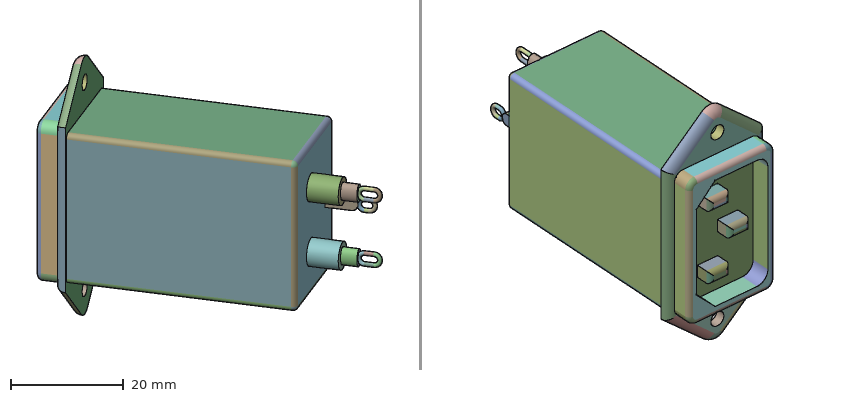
import cadquery as cq
import math

total_length = 62.0

collar_length = 4.0
collar_width = 20.0
collar_height = 31.05
collar_corner_radius = 2.0

flange_thickness = 2.0
flange_width = 23.0
flange_height = 50.0
flange_side_height = 32.0
flange_tip_radius = 3.0
flange_edge_radius = 1.9
screw_hole_diameter = 3.0
screw_hole_spacing = 40.0

housing_end = 48.75
housing_width = 22.1
housing_height = 29.0

edge_radius = 1.0

recess_width = 16.6
recess_height = 27.05
recess_chamfer = 4.35
recess_corner_radius = 2.55

pin_length = 3.5
pin_width = 4.7
pin_height = 2.6
pin_spacing = 15.5
pin_offset_line = 2.3
pin_offset_earth = -2.35

boss_end = 54.6
boss_diameter = 5.2
neck_end = 57.65
neck_width = 2.4
neck_height = 3.4
terminal_spacing = 12.5
terminal_y = -2.55
terminal_eyelet_straight = 1.8

blade_straight_end = 53.6
blade_height = 2.5
blade_thickness = 1.0
earth_y = 6.45
earth_eyelet_end = 58.35
earth_eyelet_straight = 0.85

eyelet_height = 3.0
wire_diameter = 0.85


def box_from(x_start, x_end, width, height):
    """Box centred on the X axis between two X positions."""
    plane = cq.Workplane("YZ", origin=(x_start, 0, 0))
    return plane.rect(width, height).extrude(x_end - x_start)


def make_collar():
    collar = box_from(0, collar_length, collar_width, collar_height)
    collar = collar.edges("|X").fillet(collar_corner_radius)
    return collar.faces("<X").edges().fillet(edge_radius)


def make_flange():
    """Six-sided plate with rounded tips and a rounded front rim."""
    side_y = flange_width / 2
    side_z = flange_side_height / 2
    tip_z = flange_height / 2
    arc_center_z = tip_z - flange_tip_radius

    rise = arc_center_z - side_z
    reach = math.hypot(side_y, rise)
    touch_angle = math.acos(flange_tip_radius / reach) - math.atan2(rise, side_y)
    touch_y = flange_tip_radius * math.cos(touch_angle)
    touch_z = arc_center_z + flange_tip_radius * math.sin(touch_angle)

    flange = (
        cq.Workplane("YZ", origin=(collar_length, 0, 0))
        .moveTo(side_y, -side_z)
        .lineTo(side_y, side_z)
        .lineTo(touch_y, touch_z)
        .threePointArc((0, tip_z), (-touch_y, touch_z))
        .lineTo(-side_y, side_z)
        .lineTo(-side_y, -side_z)
        .lineTo(-touch_y, -touch_z)
        .threePointArc((0, -tip_z), (touch_y, -touch_z))
        .close()
        .extrude(flange_thickness)
    )
    flange = flange.faces("<X").edges().fillet(flange_edge_radius)
    screw_holes = (
        cq.Workplane("YZ", origin=(collar_length, 0, 0))
        .rarray(0.6, screw_hole_spacing, 1, 2)
        .circle(screw_hole_diameter / 2)
        .extrude(flange_thickness)
    )
    return flange.cut(screw_holes)


def make_housing():
    housing = box_from(collar_length + flange_thickness, housing_end, housing_width, housing_height)
    return housing.edges("|X or >X").fillet(edge_radius)


def make_recess():
    """Socket cavity: chamfered corners on +Y, rounded corners on -Y."""
    recess = box_from(0, collar_length, recess_width, recess_height)
    recess = recess.edges("|X and >Y").chamfer(recess_chamfer)
    return recess.edges("|X and <Y").fillet(recess_corner_radius)


def make_pin(y, z):
    pin = box_from(collar_length - pin_length, collar_length, pin_width, pin_height)
    return pin.faces("<X").edges().fillet(edge_radius).translate((0, y, z))


def make_eyelet(x_end, straight):
    """Closed wire loop in the XZ plane whose outermost point is at x_end."""
    bend_radius = (eyelet_height - wire_diameter) / 2
    bend_x = x_end - eyelet_height / 2
    start_x = bend_x - straight
    path = (
        cq.Workplane("XZ")
        .moveTo(start_x, -bend_radius)
        .lineTo(bend_x, -bend_radius)
        .threePointArc((bend_x + bend_radius, 0), (bend_x, bend_radius))
        .lineTo(start_x, bend_radius)
        .threePointArc((start_x - bend_radius, 0), (start_x, -bend_radius))
        .close()
    )
    section = cq.Workplane("YZ", origin=(start_x, 0, -bend_radius)).circle(wire_diameter / 2)
    return section.sweep(path)


def make_line_terminal(z):
    boss = cq.Workplane("YZ", origin=(housing_end, 0, 0)).circle(boss_diameter / 2)
    boss = boss.extrude(boss_end - housing_end)
    neck = cq.Workplane("YZ", origin=(boss_end, 0, 0)).ellipse(neck_width / 2, neck_height / 2)
    neck = neck.extrude(neck_end - boss_end)
    eyelet = make_eyelet(total_length, terminal_eyelet_straight)
    return boss.union(neck).union(eyelet).translate((0, terminal_y, z))


def make_earth_terminal():
    half_height = blade_height / 2
    blade = (
        cq.Workplane("XZ")
        .moveTo(housing_end, -half_height)
        .lineTo(blade_straight_end, -half_height)
        .threePointArc((blade_straight_end + half_height, 0), (blade_straight_end, half_height))
        .lineTo(housing_end, half_height)
        .close()
        .extrude(blade_thickness / 2, both=True)
    )
    eyelet = make_eyelet(earth_eyelet_end, earth_eyelet_straight)
    return blade.union(eyelet).translate((0, earth_y, 0))


result = make_collar().union(make_flange()).union(make_housing()).cut(make_recess())

result = result.union(make_pin(pin_offset_earth, 0))
for side in (-1, 1):
    result = result.union(make_pin(pin_offset_line, side * pin_spacing / 2))
    result = result.union(make_line_terminal(side * terminal_spacing / 2))
result = result.union(make_earth_terminal())